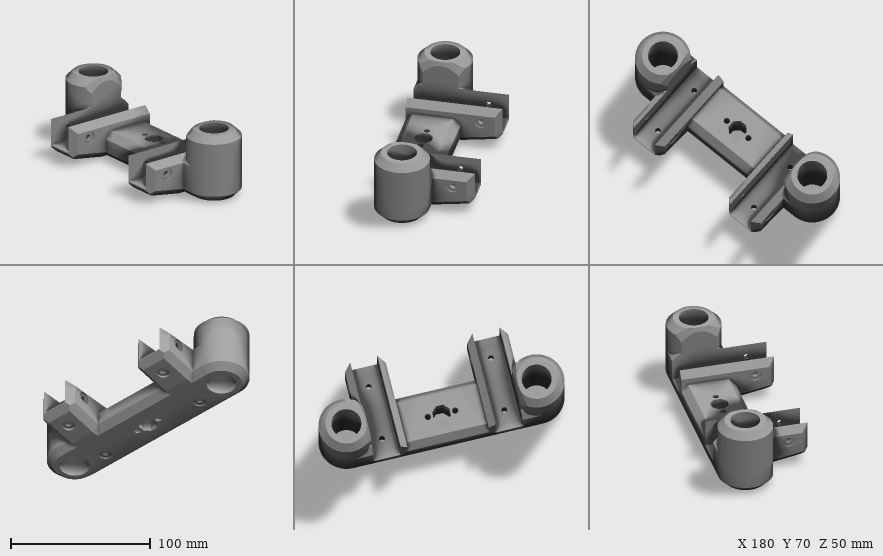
import cadquery as cq
import math

overall_length = 180.0
post_height = 50.0
post_diameter = 40.0
bore_diameter = 21.5
bevel = 5.0

channel_offset = 45.0
channel_width = 20.0
wall_height = 30.0
floor_height = 10.0
arm_reach = 30.0
arm_tip_rise = 5.0

bar_height = 20.0

octagon_sides = 8
octagon_across_flats = 12.6
bar_hole_diameter = 4.5
bar_hole_offset = 10.0

screw_diameter = 4.1
screw_head_diameter = 9.2
screw_head_depth = 1.0
rear_screw_y = 5.0
front_screw_y = -35.0
wall_screw_z = 20.0

relief_axis_offset = 84.6
relief_top_radius = 28.5
relief_angle = 22.5

post_radius = post_diameter / 2
post_offset = overall_length / 2 - post_radius
half_depth = post_radius
arm_tip_y = -half_depth - arm_reach
arm_half_width = channel_width / 2 + bevel


def box_between(x_min, x_max, y_min, y_max, z_min, z_max):
    """Axis-aligned box given by its limits."""
    size = (x_max - x_min, y_max - y_min, z_max - z_min)
    return cq.Workplane("XY").box(*size, centered=False).translate((x_min, y_min, z_min))


def bevelled_bar(x_min, x_max, height):
    """Bar along X, bevelled along its four long edges."""
    bar = box_between(x_min, x_max, -half_depth, half_depth, 0, height)
    return bar.edges("|X").chamfer(bevel)


def post(side):
    """Upright post with bevelled rims, eased toward the channel by the relief cone."""
    body = (
        cq.Workplane("XY")
        .center(side * post_offset, 0)
        .circle(post_radius)
        .extrude(post_height)
        .faces("<Z or >Z")
        .chamfer(bevel)
    )
    relief_base_radius = relief_top_radius + post_height * math.tan(math.radians(relief_angle))
    relief = cq.Solid.makeCone(
        relief_base_radius,
        relief_top_radius,
        post_height,
        cq.Vector(side * relief_axis_offset, 0, 0),
    )
    return body.intersect(cq.Workplane(relief))


def arm_section(workplane, bottom):
    """Octagonal cross-section of an arm, with its underside at the given height."""
    flat = arm_half_width - bevel
    return workplane.polyline([
        (-flat, bottom),
        (flat, bottom),
        (arm_half_width, bottom + bevel),
        (arm_half_width, wall_height - bevel),
        (flat, wall_height),
        (-flat, wall_height),
        (-arm_half_width, wall_height - bevel),
        (-arm_half_width, bottom + bevel),
    ]).close()


def arm(side):
    """Arm that carries a channel: level under the bar, rising underside in front of it."""
    rear = arm_section(cq.Workplane("XZ", origin=(0, half_depth, 0)), 0).extrude(2 * half_depth)
    rear_edge = cq.Workplane("YZ").polyline([
        (half_depth - bevel, 0),
        (half_depth, bevel),
        (half_depth, 0),
    ]).close().extrude(arm_half_width, both=True)
    outer_top_edge = cq.Workplane("YZ").polyline([
        (half_depth - bevel, wall_height),
        (half_depth, wall_height - bevel),
        (half_depth, wall_height),
    ]).close().extrude(side * arm_half_width)

    front_start = arm_section(cq.Workplane("XZ", origin=(0, -half_depth, 0)), 0)
    front = arm_section(front_start.workplane(offset=arm_reach), arm_tip_rise).loft(ruled=True)

    plan = (
        box_between(-arm_half_width, arm_half_width, arm_tip_y, half_depth, 0, wall_height)
        .edges("|Z and <Y")
        .chamfer(bevel)
    )
    tip_bottom = arm_tip_rise * (arm_reach - bevel) / arm_reach
    tip_edge = cq.Workplane("YZ").polyline([
        (arm_tip_y, tip_bottom + bevel),
        (arm_tip_y + bevel, tip_bottom),
        (arm_tip_y + bevel, 0),
        (arm_tip_y, 0),
    ]).close().extrude(arm_half_width, both=True)

    body = rear.cut(rear_edge).cut(outer_top_edge).union(front).intersect(plan).cut(tip_edge)
    return body.translate((side * channel_offset, 0, 0))


def channel(side):
    """Open space of the channel, which also flattens the inner side of the post."""
    left = side * channel_offset - channel_width / 2
    return box_between(left, left + channel_width, arm_tip_y, half_depth, floor_height, post_height)


def rod(diameter, start, direction, length):
    """Cylinder used as a drill."""
    return cq.Workplane(
        cq.Solid.makeCylinder(diameter / 2, length, cq.Vector(*start), cq.Vector(*direction))
    )


def channel_screw_holes(side):
    """Counterbored holes through the floor and both walls of a channel."""
    centre_x = side * channel_offset
    holes = cq.Workplane("XY")
    for y in (rear_screw_y, front_screw_y):
        underside = max(0, arm_tip_rise * (-half_depth - y) / arm_reach)
        holes = holes.add(rod(screw_diameter, (centre_x, y, 0), (0, 0, 1), floor_height))
        head_top = underside + screw_head_depth
        holes = holes.add(rod(screw_head_diameter, (centre_x, y, 0), (0, 0, 1), head_top))
    for direction in (-1, 1):
        start = (centre_x, front_screw_y, wall_screw_z)
        holes = holes.add(rod(screw_diameter, start, (direction, 0, 0), arm_half_width))
        head_start_x = centre_x + direction * (arm_half_width - screw_head_depth)
        head_start = (head_start_x, front_screw_y, wall_screw_z)
        holes = holes.add(rod(screw_head_diameter, head_start, (direction, 0, 0), screw_head_depth))
    return holes.combine()


def bar_holes():
    """Octagonal hole in the middle of the bar with a round hole on each side."""
    half_side_angle = 180 / octagon_sides
    circumscribed_diameter = octagon_across_flats / math.cos(math.radians(half_side_angle))
    octagon = (
        cq.Workplane("XY")
        .transformed(rotate=(0, 0, half_side_angle))
        .polygon(octagon_sides, circumscribed_diameter)
        .extrude(bar_height)
    )
    round_holes = (
        cq.Workplane("XY")
        .pushPoints([(-bar_hole_offset, 0), (bar_hole_offset, 0)])
        .circle(bar_hole_diameter / 2)
        .extrude(bar_height)
    )
    return octagon.union(round_holes)


result = bevelled_bar(-channel_offset, channel_offset, bar_height)

for side in (-1, 1):
    link_ends = sorted((side * channel_offset, side * post_offset))
    link = bevelled_bar(*link_ends, wall_height)
    result = result.union(post(side)).union(link).union(arm(side))

for side in (-1, 1):
    bore = rod(bore_diameter, (side * post_offset, 0, 0), (0, 0, 1), post_height)
    result = result.cut(channel(side)).cut(bore).cut(channel_screw_holes(side))
result = result.cut(bar_holes())